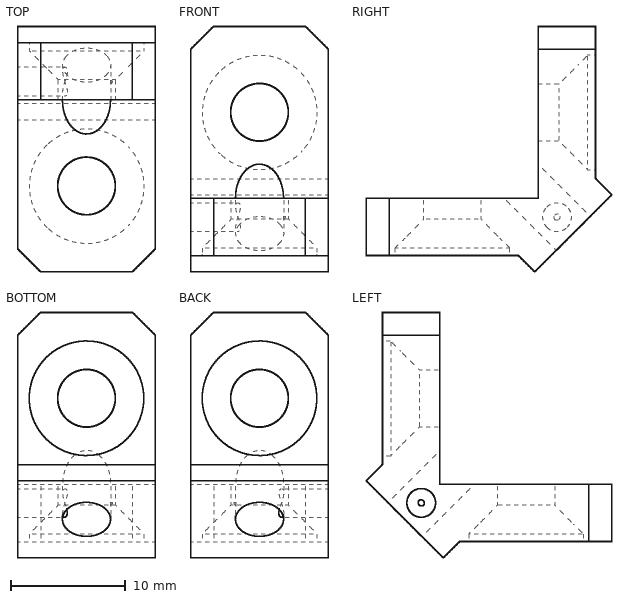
import cadquery as cq
import math

overall = 21.4
width = 12.0
leg_thickness = 5.0
foot_overhang = 1.41
corner_cut = 2.0

leg_reach = overall - leg_thickness - foot_overhang
foot_outer = leg_thickness + foot_overhang
foot_shift = 0.3

leg_hole_diameter = 5.0
leg_hole_offset = 7.5
head_diameter = 10.0
head_recess_depth = 0.7
cone_depth = (head_diameter - leg_hole_diameter) / 2

bore_diameter = 4.2
side_hole_diameter = 2.5
side_hole_offset = 1.63
side_hole_depth = 7.5
drill_point_angle = 118.0


def make_profile():
    """Side outline in Y and Z, extruded symmetrically along X."""
    foot_root = foot_shift + foot_overhang
    points = [
        (0, 0),
        (-leg_reach, 0),
        (-leg_reach, -leg_thickness),
        (-foot_root, -leg_thickness),
        (-foot_shift, -foot_outer),
        (foot_outer, foot_shift),
        (leg_thickness, foot_root),
        (leg_thickness, leg_reach),
        (0, leg_reach),
    ]
    return cq.Workplane("YZ").polyline(points).close().extrude(width / 2, both=True)


def make_leg_hole():
    """Countersunk hole along Z with the centre of its inner end at the origin."""
    hole_radius = leg_hole_diameter / 2
    head_radius = head_diameter / 2
    recess_level = -(leg_thickness - head_recess_depth)
    section = [
        (0, 0),
        (hole_radius, 0),
        (hole_radius, recess_level + cone_depth),
        (head_radius, recess_level),
        (head_radius, -leg_thickness),
        (0, -leg_thickness),
    ]
    return cq.Workplane("XZ").polyline(section).close().revolve(360, (0, 0), (0, 1))


def make_side_hole():
    """Blind hole with a conical drill point, entering from the -X side."""
    radius = side_hole_diameter / 2
    point_length = radius / math.tan(math.radians(drill_point_angle / 2))
    section = [(0, 0), (0, radius), (side_hole_depth, radius), (side_hole_depth + point_length, 0)]
    hole = cq.Workplane("XY").polyline(section).close().revolve(360, (0, 0), (1, 0))
    return hole.translate((-width / 2, side_hole_offset, -side_hole_offset))


result = make_profile()

result = result.faces("<Y").edges("|Z").chamfer(corner_cut)
result = result.faces(">Z").edges("|Y").chamfer(corner_cut)

leg_hole = make_leg_hole()
result = result.cut(leg_hole.translate((0, -leg_hole_offset, 0)))
upright_hole = leg_hole.rotate((0, 0, 0), (1, 0, 0), 90)
result = result.cut(upright_hole.translate((0, 0, leg_hole_offset)))

bore_start = cq.Workplane("XY").workplane(offset=-overall / 2)
bore = bore_start.circle(bore_diameter / 2).extrude(overall)
result = result.cut(bore.rotate((0, 0, 0), (1, 0, 0), 45))
result = result.cut(make_side_hole())